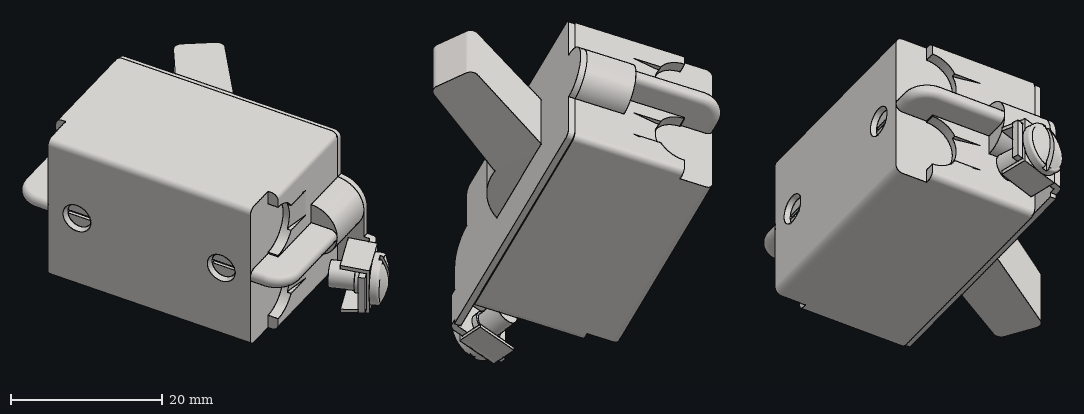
import cadquery as cq
import math


body_length = 34.0
body_height = 22.55
total_depth = 21.45
edge_radius = 1.0

plate_thickness = 0.9
plate_height = 22.05

end_step = 1.55
step_depth = 16.75
notch_radius = 4.0
notch_spacing = 10.45
ramp_width = 4.1
ramp_start_depth = 9.45
ramp_sink = 0.6

ear_radius = 4.0
ear_depth = 8.0
web_thickness = 2.0
web_corner_radius = 3.6

screw_spacing = 22.05
recess_radius = 2.1
recess_floor_radius = 1.85
recess_depth = 0.75
screw_length = 1.92
screw_slot_width = 0.55
screw_slot_depth = 0.5

hub_radius = 8.27
hub_thickness = 8.5
hub_axis_depth = 4.55
lever_tilt = 34.3
lever_start = 7.2
lever_reach = 24.3
lever_root_width = 7.9
lever_tip_width = 6.8
lever_tip_thickness = 8.05
lever_tip_radius = 1.15

tab_run = 0.85
tab_bend = 70.0
tab_width = 5.85
tab_length = 8.7
tab_centre_z = -7.35
terminal_offset = 4.65

collar_radius = 2.15
collar_length = 0.9
clamp_web_thickness = 0.45
clamp_length = 6.2
clamp_web_width = 7.05
clamp_open_width = 7.85
clamp_flange_length = 3.5
clamp_flange_thickness = 0.6

shank_radius = 1.9
shank_length = 5.4
head_radius = 3.55
head_side_height = 0.9
head_shoulder = 0.4
head_height = 2.1
head_slot_width = 0.8
head_slot_floor = 0.8

half_length = body_length / 2
front_half_length = half_length - end_step
ear_reach = half_length + ear_radius
plate_front = -plate_thickness
web_radius = web_thickness / 2
screw_places = (-screw_spacing / 2, screw_spacing / 2)

tilt = math.radians(lever_tilt)
lever_axis = cq.Vector(-math.sin(tilt), math.cos(tilt), 0)
lever_across = cq.Vector(math.cos(tilt), math.sin(tilt), 0)
hub_centre = cq.Vector(0, -hub_axis_depth, 0)

bend = math.radians(tab_bend)
tab_normal = cq.Vector(math.sin(bend), math.cos(bend), 0)
tab_direction = cq.Vector(math.cos(bend), -math.sin(bend), 0)
bend_centre = cq.Vector(ear_reach + tab_run, plate_front, tab_centre_z)
tab_outer_start = bend_centre + tab_normal * plate_thickness
terminal_plane = cq.Plane(
    origin=tab_outer_start + tab_direction * terminal_offset,
    xDir=-tab_direction,
    normal=tab_normal,
)


def block(x_range, y_range, z_range):
    """Box given by its limits along each axis."""
    lows, highs = zip(x_range, y_range, z_range)
    size = [high - low for low, high in zip(lows, highs)]
    return cq.Workplane("XY").box(*size, centered=False).translate(lows)


def cylinder_y(radius, x, z, y_start, y_end):
    """Cylinder along Y from y_start forward to y_end."""
    axis_plane = cq.Workplane("XZ", origin=(x, y_start, z))
    return axis_plane.circle(radius).extrude(y_start - y_end)


def make_lever():
    hub = (
        cq.Workplane("XY")
        .center(hub_centre.x, hub_centre.y)
        .circle(hub_radius)
        .extrude(hub_thickness / 2, both=True)
    )
    root_plane = cq.Plane(
        origin=hub_centre + lever_axis * lever_start, xDir=lever_across, normal=lever_axis
    )
    beyond_root = cq.Workplane(root_plane).rect(2 * hub_radius, 2 * hub_radius).extrude(hub_radius)
    arm = (
        cq.Workplane(root_plane)
        .rect(lever_root_width, hub_thickness)
        .workplane(offset=lever_reach - lever_start)
        .rect(lever_tip_width, lever_tip_thickness)
        .loft()
    )
    tip = arm.faces(cq.selectors.DirectionNthSelector(lever_axis, -1))
    arm = tip.edges("|Z").fillet(lever_tip_radius)
    return hub.cut(beyond_root).union(arm)


def make_web():
    """Rounded-edge web running from the right-hand ear round to the front face."""
    path_x = ear_reach - web_radius
    path_y = -total_depth + web_radius
    path_corner = web_corner_radius - web_radius
    corner_middle = path_corner * (1 - math.sqrt(0.5))
    path = (
        cq.Workplane("XY")
        .moveTo(path_x, -ear_depth)
        .lineTo(path_x, path_y + path_corner)
        .threePointArc(
            (path_x - corner_middle, path_y + corner_middle), (path_x - path_corner, path_y)
        )
        .lineTo(front_half_length, path_y)
    )
    rounded_edge = (
        cq.Workplane("XZ", origin=(path_x, -ear_depth, 0)).circle(web_radius).sweep(path)
    )
    core = block(
        (front_half_length, path_x), (path_y, -ear_depth), (-web_radius, web_radius)
    )
    core = core.edges(">X and <Y").fillet(path_corner)
    return core.union(rounded_edge)


def make_wire_entry(z):
    """Half-round notch in the right-hand end wall with a ramp sinking toward it."""
    notch = (
        cq.Workplane("YZ", origin=(front_half_length, -step_depth, z))
        .circle(notch_radius)
        .extrude(2 * end_step)
    )
    ramp_end = -(step_depth - notch_radius)
    ramp = (
        cq.Workplane("XY", origin=(0, 0, z))
        .polyline([
            (half_length, -ramp_start_depth),
            (half_length - ramp_sink, ramp_end),
            (half_length - ramp_sink, -step_depth),
            (half_length, -step_depth),
        ])
        .close()
        .extrude(ramp_width / 2, both=True)
    )
    return notch.union(ramp)


def make_screw_recess(x):
    """Tapered recess in the front face continuing as a plain bore for the screw."""
    recess = (
        cq.Workplane("XZ", origin=(x, -total_depth, 0))
        .circle(recess_radius)
        .workplane(offset=-recess_depth)
        .circle(recess_floor_radius)
        .loft()
    )
    floor = -total_depth + recess_depth
    return recess.union(cylinder_y(recess_floor_radius, x, 0, floor + screw_length, floor))


def make_housing(lever):
    half_height = body_height / 2
    rear = block(
        (-half_length, half_length), (-step_depth, plate_front), (-half_height, half_height)
    ).edges("|Y").fillet(edge_radius)
    front = block(
        (-front_half_length, front_half_length),
        (-total_depth, -step_depth),
        (-half_height, half_height),
    ).edges("|X and <Y").fillet(edge_radius)
    housing = rear.union(front)

    right_web = make_web()
    for web in (right_web, right_web.mirror("YZ")):
        housing = housing.union(web)
    for z in (-notch_spacing / 2, notch_spacing / 2):
        entry = make_wire_entry(z)
        housing = housing.cut(entry).cut(entry.mirror("YZ"))
    for x in (-half_length, half_length):
        housing = housing.union(cylinder_y(ear_radius, x, 0, plate_front, -ear_depth))
    for x in screw_places:
        housing = housing.cut(make_screw_recess(x))
    return housing.cut(lever)


def make_housing_screw(x):
    top = -total_depth + recess_depth
    screw = cylinder_y(recess_floor_radius, x, 0, top + screw_length, top)
    slot = block(
        (x - recess_radius, x + recess_radius),
        (top, top + screw_slot_depth),
        (-screw_slot_width / 2, screw_slot_width / 2),
    )
    return screw.cut(slot)


def make_tab():
    inner = bend_centre
    outer = tab_outer_start
    arc_middle_angle = math.pi / 2 - bend / 2
    arc_middle_direction = cq.Vector(math.cos(arc_middle_angle), math.sin(arc_middle_angle), 0)
    arc_middle = inner + arc_middle_direction * plate_thickness
    inner_end = inner + tab_direction * tab_length
    outer_end = outer + tab_direction * tab_length
    profile = (
        cq.Workplane("XY", origin=(0, 0, tab_centre_z))
        .moveTo(half_length, plate_front)
        .lineTo(half_length, 0)
        .lineTo(inner.x, 0)
        .threePointArc((arc_middle.x, arc_middle.y), (outer.x, outer.y))
        .lineTo(outer_end.x, outer_end.y)
        .lineTo(inner_end.x, inner_end.y)
        .lineTo(inner.x, inner.y)
        .close()
    )
    tab = profile.extrude(tab_width / 2, both=True)
    collar = (
        cq.Workplane(terminal_plane)
        .circle(collar_radius)
        .extrude(-plate_thickness - collar_length)
    )
    bore = cq.Workplane(terminal_plane).circle(shank_radius).extrude(-shank_length)
    return tab.union(collar).cut(bore)


def make_plate(lever):
    plate = block(
        (-half_length, half_length), (plate_front, 0), (-plate_height / 2, plate_height / 2)
    ).edges("|Y").fillet(edge_radius)
    for x in (-half_length, half_length):
        plate = plate.union(cylinder_y(ear_radius, x, 0, 0, plate_front))
    wing = block((0, ear_reach), (plate_front, 0), (-plate_height / 2, 0))
    return plate.union(wing).union(make_tab()).cut(lever)


def make_clamp():
    web_half = clamp_web_width / 2
    open_half = clamp_open_width / 2
    right_side = [
        (web_half, clamp_web_thickness),
        (web_half, 0),
        (open_half, -clamp_flange_length),
        (open_half - clamp_flange_thickness, -clamp_flange_length),
        (web_half - clamp_flange_thickness, 0),
    ]
    left_side = [(-across, along) for across, along in reversed(right_side)]
    section_plane = cq.Plane(origin=terminal_plane.origin, xDir=(0, 0, 1), normal=-tab_direction)
    channel = (
        cq.Workplane(section_plane)
        .polyline(right_side + left_side)
        .close()
        .extrude(clamp_length / 2, both=True)
    )
    bore = cq.Workplane(terminal_plane).circle(shank_radius).extrude(clamp_web_thickness)
    return channel.cut(bore)


def make_terminal_screw():
    dome_edge = head_radius - head_shoulder
    dome_base = head_side_height + head_shoulder
    dome_rise = head_height - dome_base
    sphere_radius = (dome_edge ** 2 + dome_rise ** 2) / (2 * dome_rise)
    dome_middle = dome_edge / 2
    dome_middle_height = head_height - sphere_radius + math.sqrt(sphere_radius ** 2 - dome_middle ** 2)
    shoulder_middle = head_shoulder * math.sqrt(0.5)
    section_plane = cq.Plane(
        origin=terminal_plane.origin + tab_normal * clamp_web_thickness,
        xDir=(0, 0, 1),
        normal=-tab_direction,
    )
    screw = (
        cq.Workplane(section_plane)
        .moveTo(0, -shank_length - clamp_web_thickness)
        .lineTo(shank_radius, -shank_length - clamp_web_thickness)
        .lineTo(shank_radius, 0)
        .lineTo(head_radius, 0)
        .lineTo(head_radius, head_side_height)
        .threePointArc(
            (dome_edge + shoulder_middle, head_side_height + shoulder_middle), (dome_edge, dome_base)
        )
        .threePointArc((dome_middle, dome_middle_height), (0, head_height))
        .close()
        .revolve(360, (0, 0), (0, 1))
    )
    slot = (
        cq.Workplane(terminal_plane)
        .workplane(offset=clamp_web_thickness + head_slot_floor)
        .rect(head_slot_width, 3 * head_radius)
        .extrude(head_height)
    )
    return screw.cut(slot)


lever = make_lever()
housing = make_housing(lever)
plate = make_plate(lever)
clamp = make_clamp()
terminal_screw = make_terminal_screw()
housing_screws = [make_housing_screw(x) for x in screw_places]

result = cq.Compound.makeCompound([
    housing.val(),
    plate.val(),
    lever.val(),
    clamp.val(),
    terminal_screw.val(),
    *[screw.val() for screw in housing_screws],
])